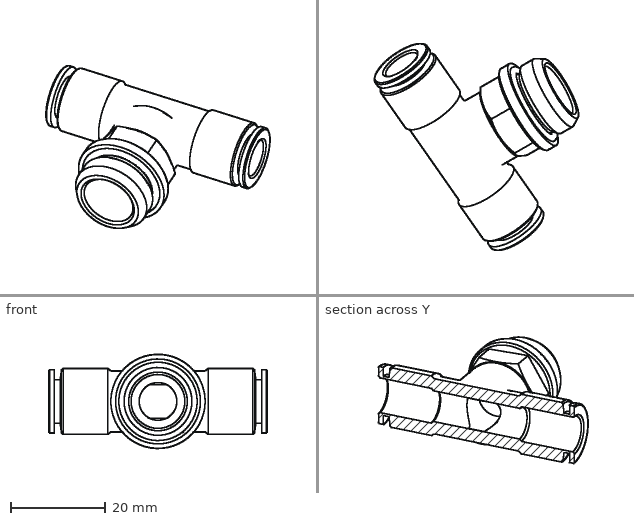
import cadquery as cq
import math


RUN_LENGTH = 46.4
RUN_RADIUS = 6.5
RUN_BORE_RADIUS = 3.53
RUN_HALF = RUN_LENGTH / 2

SOCKET_RADIUS = 7.0
SOCKET_LENGTH = 10.45
SOCKET_INNER_X = 10.0
SOCKET_OUTER_X = SOCKET_INNER_X + SOCKET_LENGTH
SOCKET_CHAMFER = 0.32
SOCKET_SHOULDER = 0.6
SOCKET_END_CONE_HEIGHT = 0.3

COLLAR_RADIUS = 6.75
COLLAR_THICKNESS = 1.25
COLLAR_CHAMFER = 0.3
COLLAR_NECK_RADIUS = 4.65
TUBE_RADIUS = 4.0
TUBE_LEAD_IN = 0.4
TUBE_DEPTH = 13.0

BRANCH_LENGTH = 25.47
NECK_RADIUS = 7.9
NECK_START = 2.45
NECK_CONE_ANGLE = 60.0
BLEND_RADIUS = 0.5
NECK_UNDERCUT = 0.2

HEX_START = 10.45
HEX_ACROSS_FLATS = 16.0
HEX_CORNER_RADIUS = HEX_ACROSS_FLATS / math.sqrt(3)
HEX_TWIST = 2.0
HEX_BEVEL_ANGLE = 30.0
HEX_FACE_RADIUS = 7.95

FLANGE_START = 15.95
FLANGE_END = 18.55
FLANGE_DIAMETER = 20.0
FLANGE_RADIUS = FLANGE_DIAMETER / 2
FLANGE_CHAMFER = 0.45

SEAL_RING_CENTRE_RADIUS = 8.15
SEAL_RING_SECTION_RADIUS = 0.85

THREAD_RADIUS = 8.3
THREAD_ROOT_RADIUS = 7.2
THREAD_START = 19.65
THREAD_LEAD_IN = 1.0
THREAD_END_TAPER = 1.8

BRANCH_BORE_RADIUS = 5.7
BRANCH_BORE_CHAMFER = 0.5
BRANCH_BORE_DEPTH = 15.3
BRANCH_PORT_RADIUS = 4.0
BRANCH_BORE_CONE_ANGLE = 60.0


def turn_on_run(profile):
    """Revolve (x, radius) points, closed along the X axis."""
    start, end = profile[0][0], profile[-1][0]
    points = [(start, 0), *profile, (end, 0)]
    return cq.Workplane("XY").polyline(points).close().revolve(360, (0, 0), (1, 0))


def turn_on_branch(profile):
    """Revolve (distance, radius) points, closed along the branch axis."""
    start, end = profile[0][0], profile[-1][0]
    points = [(0, -start), *[(radius, -distance) for distance, radius in profile], (0, -end)]
    return cq.Workplane("XY").polyline(points).close().revolve(360, (0, 0), (0, 1))


def both_ends(end):
    """Add the mirrored copy on the other end of the run."""
    return end.union(end.mirror("YZ"))


def edges_within(x_reach, y_low, y_high, z_reach):
    """Select edges that lie fully inside a box centred on the YZ and XY planes."""
    return cq.selectors.BoxSelector(
        (-x_reach, y_low, -z_reach),
        (x_reach, y_high, z_reach),
        boundingbox=True,
    )


def run_end():
    """Socket and release collar at the +X end."""
    collar_x = RUN_HALF - COLLAR_THICKNESS
    return turn_on_run([
        (SOCKET_INNER_X, RUN_RADIUS),
        (SOCKET_INNER_X + SOCKET_SHOULDER, SOCKET_RADIUS),
        (SOCKET_OUTER_X - SOCKET_CHAMFER, SOCKET_RADIUS),
        (SOCKET_OUTER_X, SOCKET_RADIUS - SOCKET_CHAMFER),
        (SOCKET_OUTER_X + SOCKET_END_CONE_HEIGHT, COLLAR_NECK_RADIUS),
        (collar_x, COLLAR_NECK_RADIUS),
        (collar_x, COLLAR_RADIUS),
        (RUN_HALF - COLLAR_CHAMFER, COLLAR_RADIUS),
        (RUN_HALF, COLLAR_RADIUS - COLLAR_CHAMFER),
    ])


def branch_neck():
    """Neck cylinder with a conical, round-edged top that runs into the run cylinder."""
    cone_length = (NECK_RADIUS - RUN_BORE_RADIUS) / math.tan(math.radians(NECK_CONE_ANGLE))
    neck = turn_on_branch([
        (NECK_START - cone_length, RUN_BORE_RADIUS),
        (NECK_START, NECK_RADIUS),
        (HEX_START - NECK_UNDERCUT, NECK_RADIUS),
        (HEX_START, NECK_RADIUS - NECK_UNDERCUT),
    ])
    reach = NECK_RADIUS + BLEND_RADIUS
    cone_edge = edges_within(reach, -NECK_START - BLEND_RADIUS, BLEND_RADIUS - NECK_START, reach)
    return neck.edges(cone_edge).fillet(BLEND_RADIUS)


def body():
    """Run cylinder, sockets and neck with blended inside corners."""
    run = turn_on_run([(-SOCKET_INNER_X, RUN_RADIUS), (SOCKET_INNER_X, RUN_RADIUS)])
    tee = run.union(branch_neck()).union(both_ends(run_end()))
    reach = RUN_RADIUS + BLEND_RADIUS / 2
    inside_corners = edges_within(SOCKET_INNER_X + BLEND_RADIUS, -reach, reach, reach)
    return tee.edges(inside_corners).fillet(BLEND_RADIUS)


def hexagon():
    """Wrench hexagon with its corners bevelled on the run side."""
    length = FLANGE_START - HEX_START
    prism = (
        cq.Workplane("XZ", origin=(0, -HEX_START, 0))
        .polygon(6, 2 * HEX_CORNER_RADIUS)
        .extrude(length)
        .rotate((0, 0, 0), (0, 1, 0), HEX_TWIST)
    )
    bevel_radius = HEX_FACE_RADIUS + length / math.tan(math.radians(HEX_BEVEL_ANGLE))
    bevel = turn_on_branch([(HEX_START, HEX_FACE_RADIUS), (FLANGE_START, bevel_radius)])
    return prism.intersect(bevel)


def threaded_end():
    """Flange, thread relief and threaded spigot."""
    return turn_on_branch([
        (FLANGE_START, FLANGE_RADIUS - FLANGE_CHAMFER),
        (FLANGE_START + FLANGE_CHAMFER, FLANGE_RADIUS),
        (FLANGE_END, FLANGE_RADIUS),
        (FLANGE_END, THREAD_ROOT_RADIUS),
        (THREAD_START, THREAD_ROOT_RADIUS),
        (THREAD_START + THREAD_LEAD_IN, THREAD_RADIUS),
        (BRANCH_LENGTH - THREAD_END_TAPER, THREAD_RADIUS),
        (BRANCH_LENGTH, THREAD_ROOT_RADIUS),
    ])


def seal_ring():
    """Sealing ring half sunk into the flange face."""
    return (
        cq.Workplane("XY")
        .center(SEAL_RING_CENTRE_RADIUS, -FLANGE_END)
        .circle(SEAL_RING_SECTION_RADIUS)
        .revolve(360, (-SEAL_RING_CENTRE_RADIUS, 0), (-SEAL_RING_CENTRE_RADIUS, 1))
    )


def run_bore():
    """Through bore with a tube pocket and lead-in at each end."""
    through = turn_on_run([(-RUN_HALF, RUN_BORE_RADIUS), (RUN_HALF, RUN_BORE_RADIUS)])
    pocket_x = RUN_HALF - TUBE_DEPTH
    pocket = turn_on_run([
        (pocket_x, RUN_BORE_RADIUS),
        (pocket_x + TUBE_RADIUS - RUN_BORE_RADIUS, TUBE_RADIUS),
        (RUN_HALF - TUBE_LEAD_IN, TUBE_RADIUS),
        (RUN_HALF, TUBE_RADIUS + TUBE_LEAD_IN),
    ])
    return through.union(both_ends(pocket))


def branch_bore():
    """Stepped bore from the threaded end to the run axis."""
    cone_rise = BRANCH_BORE_RADIUS - BRANCH_PORT_RADIUS
    cone_length = cone_rise / math.tan(math.radians(BRANCH_BORE_CONE_ANGLE))
    bore_bottom = BRANCH_LENGTH - BRANCH_BORE_DEPTH
    return turn_on_branch([
        (0, BRANCH_PORT_RADIUS),
        (bore_bottom - cone_length, BRANCH_PORT_RADIUS),
        (bore_bottom, BRANCH_BORE_RADIUS),
        (BRANCH_LENGTH - BRANCH_BORE_CHAMFER, BRANCH_BORE_RADIUS),
        (BRANCH_LENGTH, BRANCH_BORE_RADIUS + BRANCH_BORE_CHAMFER),
    ])


outside = body().union(hexagon()).union(threaded_end()).union(seal_ring())
result = outside.cut(run_bore()).cut(branch_bore())